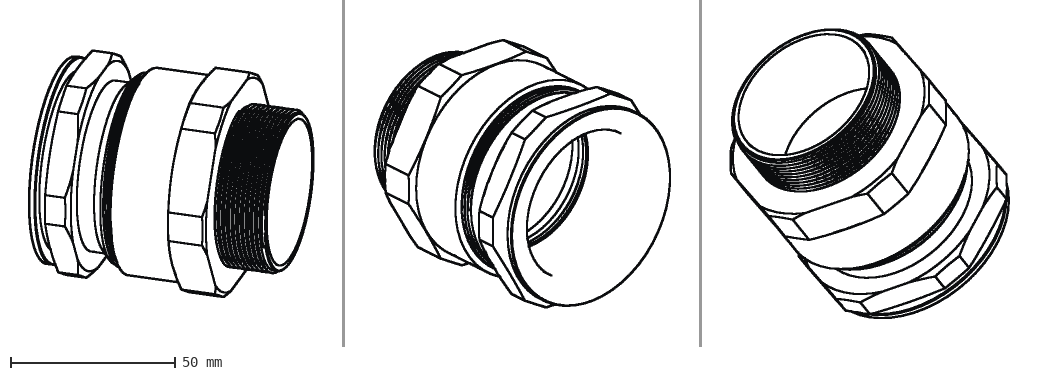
import cadquery as cq
import math


flange_end = 2.1
screw_hex_start = 4.9
screw_hex_end = 13.6
neck_end = 19.1
screw_tip = 31.45
body_start = 26.2
washer_start = 33.5
seal_start = 36.5
body_hex_start = 44.5
body_hex_end = 57.0
overall_length = 73.05

across_flats = 64.0
across_corners = 68.32
rear_chamfer_angle = 30.0

flange_radius = 63.79 / 2
flange_edge_chamfer = 0.25
collar_radius = 55.53 / 2
neck_radius = 52.55 / 2
screw_hex_front_radius = 58.44 / 2
screw_hex_front_angle = 12.0
screw_hex_rear_radius = 32.3
screw_bore_radius = 48.11 / 2
screw_lip_radius = 47.63 / 2
screw_lip_start = 29.45
screw_lip_taper_length = 0.6
bell_mouth_radius = 3.05

body_radius = 63.79 / 2
body_hex_front_angle = 18.0
body_hex_rear_radius = 33.0
chamber_radius = 52.55 / 2
washer_bore_radius = screw_lip_radius
entry_bore_radius = 45.0 / 2

thread_pitch = 1.5
thread_flank_angle = 30.0
ridge_root_overlap = 0.1
screw_thread_root_radius = 58.4 / 2
screw_thread_crest_radius = 29.93
screw_thread_first_crest = 22.6
screw_thread_turns = 2.5
entry_thread_root_radius = 48.64 / 2
entry_thread_crest_radius = 25.15
entry_thread_first_crest = 56.95
entry_thread_turns = 10.3
entry_tip_radius = 48.12 / 2


def turned(points):
    """Solid of revolution about X from a closed outline of (x, radius) points."""
    return cq.Workplane("XY").polyline(points).close().revolve(360, (0, 0, 0), (1, 0, 0))


def cylinder(start, end, radius):
    """Cylinder on the X axis."""
    return cq.Workplane("YZ", origin=(start, 0, 0)).circle(radius).extrude(end - start)


def hexagon(start, end, front_radius, front_angle, rear_radius):
    """Hexagon with truncated corners and conical chamfers, which start at the face radii."""
    blank_plane = cq.Workplane("YZ", origin=(start, 0, 0))
    corner_ratio = 1 / math.cos(math.radians(30))
    length = end - start
    flats = blank_plane.polygon(6, across_flats * corner_ratio).extrude(length)
    corners = blank_plane.polygon(6, across_corners * corner_ratio).extrude(length)
    corners = corners.rotate((0, 0, 0), (1, 0, 0), 30)

    limit_radius = across_flats / 2 * corner_ratio
    front_depth = (limit_radius - front_radius) * math.tan(math.radians(front_angle))
    rear_depth = (limit_radius - rear_radius) * math.tan(math.radians(rear_chamfer_angle))
    chamfers = turned([
        (start, 0),
        (start, front_radius),
        (start + front_depth, limit_radius),
        (end - rear_depth, limit_radius),
        (end, rear_radius),
        (end, 0),
    ])
    return flats.intersect(corners).intersect(chamfers)


def thread_ridge(root_radius, crest_radius, first_crest, turns, start_angle):
    """Helical ridge about X; start_angle turns its start from -Z about X."""
    base_radius = root_radius - ridge_root_overlap
    base_half_width = (crest_radius - base_radius) * math.tan(math.radians(thread_flank_angle))
    helix = cq.Wire.makeHelix(thread_pitch, thread_pitch * turns, base_radius)
    ridge = (
        cq.Workplane("XZ")
        .moveTo(base_radius, -base_half_width)
        .lineTo(crest_radius, 0)
        .lineTo(base_radius, base_half_width)
        .close()
        .sweep(cq.Workplane(obj=helix), isFrenet=True)
    )
    ridge = ridge.rotate((0, 0, 0), (0, 1, 0), 90)
    ridge = ridge.rotate((0, 0, 0), (1, 0, 0), start_angle)
    return ridge.translate((first_crest, 0, 0))


def make_pressure_screw():
    """Bell-mouthed flange, collar, hexagon, neck and threaded shank in one piece."""
    cone_end = neck_end + screw_thread_root_radius - neck_radius
    shell = turned([
        (0, 0),
        (0, flange_radius - flange_edge_chamfer),
        (flange_edge_chamfer, flange_radius),
        (flange_end - flange_edge_chamfer, flange_radius),
        (flange_end, flange_radius - flange_edge_chamfer),
        (flange_end, collar_radius),
        (screw_hex_start, collar_radius),
        (screw_hex_start, neck_radius),
        (neck_end, neck_radius),
        (cone_end, screw_thread_root_radius),
        (screw_tip, screw_thread_root_radius),
        (screw_tip, 0),
    ])
    hex_part = hexagon(
        screw_hex_start,
        screw_hex_end,
        screw_hex_front_radius,
        screw_hex_front_angle,
        screw_hex_rear_radius,
    )
    ridge = thread_ridge(
        screw_thread_root_radius,
        screw_thread_crest_radius,
        screw_thread_first_crest,
        screw_thread_turns,
        start_angle=90,
    )
    exposed_ridge = ridge.cut(cylinder(body_start, screw_tip, body_radius))
    shell = shell.union(hex_part).union(exposed_ridge)

    arc_middle = bell_mouth_radius * (1 - math.sin(math.radians(45)))
    bore = (
        cq.Workplane("XY")
        .moveTo(0, 0)
        .lineTo(0, screw_bore_radius + bell_mouth_radius)
        .threePointArc(
            (arc_middle, screw_bore_radius + arc_middle),
            (bell_mouth_radius, screw_bore_radius),
        )
        .lineTo(screw_lip_start, screw_bore_radius)
        .lineTo(screw_lip_start + screw_lip_taper_length, screw_lip_radius)
        .lineTo(screw_tip, screw_lip_radius)
        .lineTo(screw_tip, 0)
        .close()
        .revolve(360, (0, 0, 0), (1, 0, 0))
    )
    return shell.cut(bore)


def make_gland_body():
    """Cylindrical housing, hexagon and entry thread, bored in three steps."""
    barrel = cylinder(body_start, body_hex_start, body_radius)
    hex_part = hexagon(
        body_hex_start,
        body_hex_end,
        body_radius,
        body_hex_front_angle,
        body_hex_rear_radius,
    )
    tip_chamfer = entry_thread_root_radius - entry_tip_radius
    entry = cylinder(body_hex_end, overall_length, entry_thread_root_radius)
    entry = entry.faces(">X").chamfer(tip_chamfer)
    ridge = thread_ridge(
        entry_thread_root_radius,
        entry_thread_crest_radius,
        entry_thread_first_crest,
        entry_thread_turns,
        start_angle=180,
    )
    outside = barrel.union(hex_part).union(entry).union(ridge)
    return (
        outside
        .cut(cylinder(body_start, screw_tip, screw_thread_root_radius))
        .cut(cylinder(screw_tip, body_hex_start, chamber_radius))
        .cut(cylinder(body_hex_start, overall_length, entry_bore_radius))
    )


def make_washer():
    """Flat-faced ring in front of the seal."""
    ring = cylinder(washer_start, seal_start, chamber_radius)
    return ring.cut(cylinder(washer_start, seal_start, washer_bore_radius))


def make_seal():
    """Solid disc closing the chamber against its rear shoulder."""
    return cylinder(seal_start, body_hex_start, chamber_radius)


pressure_screw = make_pressure_screw()
gland_body = make_gland_body()
washer = make_washer()
seal = make_seal()

result = cq.Compound.makeCompound([
    pressure_screw.val(),
    gland_body.val(),
    washer.val(),
    seal.val(),
])